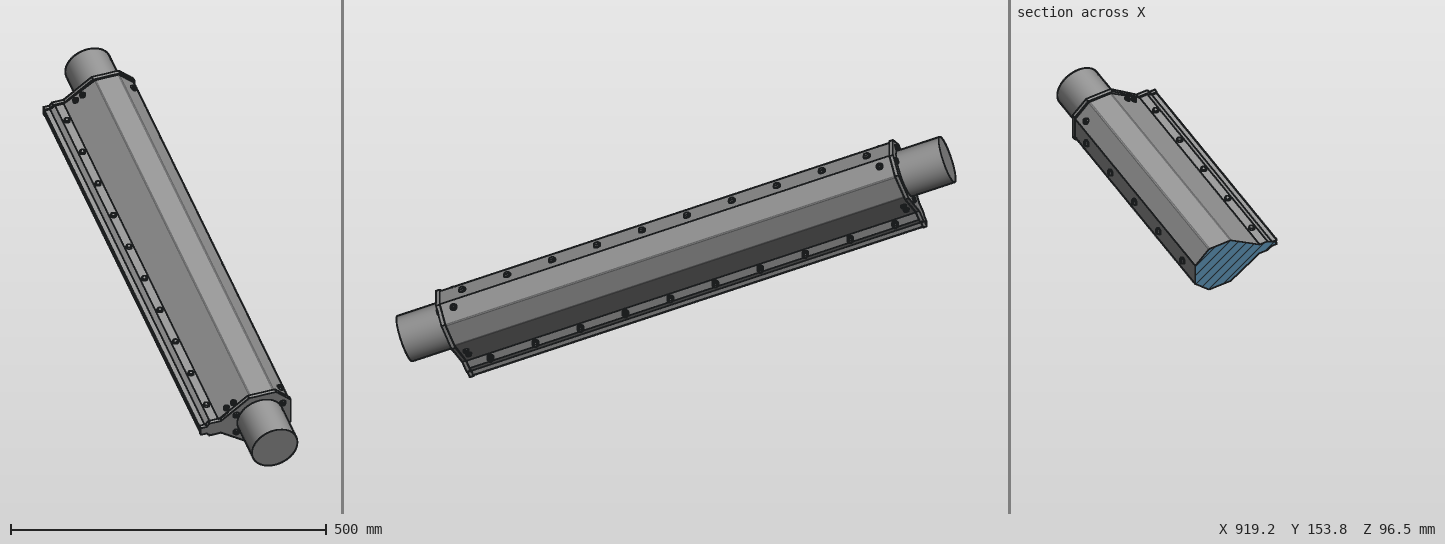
import cadquery as cq


overall_length = 919.18
tube_diameter = 76.2

body_length = 762.0
body_back = 50.2
body_half_height = 45.72
body_bevel = 25.2
body_top_front = -14.7
body_bend_radius = 3.2
body_nose_root = -67.3
body_nose_half_height = 10.2
body_nose_front = -81.6
body_lip_root = -90.0
body_lip_half_height = 5.0
groove_half_height = 3.4
groove_depth = 2.7
lip_front = -98.98

plate_thickness = 6.35
plate_back = 51.3
plate_half_height = 48.26
plate_bevel = 24.5
plate_top_front = -18.3
plate_nose_root = -65.3
plate_nose_half_height = 13.0
plate_nose_front = -84.7
plate_lip_root = -89.2
plate_lip_half_height = 7.3

large_head = (10.5, 7.6, 2.8)
small_head = (9.5, 7.6, 2.8)
socket_across_corners = 4.6
socket_depth = 1.6
embed = 1.0

plate_screw_places = [(37.6, 20.8), (-39.9, 18.3)]

slope_screw_x = 370.8
slope_screw_ys = (-38.7, -50.4)
bevel_screw_x = 361.0
bevel_screw_y = 42.0

row_pitch = 76.2
row_count = 10
row_xs = [(i - (row_count - 1) / 2) * row_pitch for i in range(row_count)]
back_screw_reach = 54.8
back_screw_collar_diameter = 11.0
nose_screw_y = -74.7
nut_diameter = 10.13
nut_height = 5.0
stud_diameter = 5.0
stud_end_z = -21.6


def mirrored_outline(upper):
    """Closed YZ outline from its upper half, symmetric about Z = 0."""
    lower = [(y, -z) for y, z in reversed(upper)]
    return cq.Workplane("YZ").polyline(upper + lower).close()


def make_body():
    """Housing with rounded top and bottom bends and a V groove along the lip."""
    outline = mirrored_outline(
        [
            (body_back, body_half_height - body_bevel),
            (body_back - body_bevel, body_half_height),
            (body_top_front, body_half_height),
            (body_nose_root, body_nose_half_height),
            (body_nose_front, body_nose_half_height),
            (body_lip_root, body_lip_half_height),
            (lip_front, body_lip_half_height),
        ]
    )
    housing = outline.extrude(body_length / 2, both=True)
    housing = housing.faces(">Z or <Z").edges("|X").fillet(body_bend_radius)
    groove = (
        cq.Workplane("YZ")
        .moveTo(lip_front, groove_half_height)
        .lineTo(lip_front + groove_depth, 0)
        .lineTo(lip_front, -groove_half_height)
        .close()
        .extrude(body_length / 2, both=True)
    )
    return housing.cut(groove)


def make_end_plate():
    """End plate with its inner face on X = 0 and its outer face towards +X."""
    outline = mirrored_outline(
        [
            (plate_back, plate_half_height - plate_bevel),
            (plate_back - plate_bevel, plate_half_height),
            (plate_top_front, plate_half_height),
            (plate_nose_root, plate_nose_half_height),
            (plate_nose_front, plate_nose_half_height),
            (plate_lip_root, plate_lip_half_height),
            (lip_front, plate_lip_half_height),
        ]
    )
    return outline.extrude(plate_thickness)


def pin(place, direction, diameter, height):
    """Cylinder standing on a face at the given place and reaching into it."""
    axis = cq.Vector(*direction).normalized()
    start = cq.Vector(*place) - axis * embed
    return cq.Solid.makeCylinder(diameter / 2, height + embed, start, axis)


def screw_head(place, direction, head, socket=False):
    """Tapered button head on a face at the given place, optionally with a hexagon socket."""
    base_diameter, top_diameter, height = head
    axis = cq.Vector(*direction).normalized()
    side = cq.Vector(0, 1, 0) if direction[0] else cq.Vector(1, 0, 0)
    plane = cq.Plane(origin=place, xDir=side, normal=axis)
    crown = cq.Solid.makeCone(base_diameter / 2, top_diameter / 2, height, cq.Vector(*place), axis)
    button = cq.Workplane(crown).union(cq.Workplane(pin(place, direction, base_diameter, 0)))
    if socket:
        socket_plane = cq.Workplane(plane).workplane(offset=height - socket_depth)
        button = button.cut(socket_plane.polygon(6, socket_across_corners).extrude(socket_depth))
    return button.val()


def plate_screws():
    outer_x = body_length / 2 + plate_thickness
    return [
        screw_head((end * outer_x, y, side * z), (end, 0, 0), large_head, socket=True)
        for end in (-1, 1)
        for side in (-1, 1)
        for y, z in plate_screw_places
    ]


def body_end_screws():
    """Two screws on each sloped face and one on each bevel, at both ends of the body."""
    slope_run = body_top_front - body_nose_root
    slope_drop = body_half_height - body_nose_half_height
    bevel_screw_z = body_half_height - body_bevel + body_back - bevel_screw_y
    screws = []
    for end in (-1, 1):
        for side in (-1, 1):
            for y in slope_screw_ys:
                z = body_half_height - (body_top_front - y) * slope_drop / slope_run
                place = (end * slope_screw_x, y, side * z)
                screws.append(screw_head(place, (0, -slope_drop, side * slope_run), small_head, socket=True))
            place = (end * bevel_screw_x, bevel_screw_y, side * bevel_screw_z)
            screws.append(screw_head(place, (0, 1, side), large_head, socket=True))
    return screws


def back_screws():
    """Row of heads, each on a round collar, along the back face."""
    collar_height = back_screw_reach - body_back - large_head[2]
    fasteners = []
    for x in row_xs:
        fasteners.append(pin((x, body_back, 0), (0, 1, 0), back_screw_collar_diameter, collar_height))
        fasteners.append(screw_head((x, body_back + collar_height, 0), (0, 1, 0), large_head))
    return fasteners


def nose_screws():
    """Row of heads on top of the nose, with nuts and stud ends below it."""
    fasteners = []
    for x in row_xs:
        under = (x, nose_screw_y, -body_nose_half_height)
        down = (0, 0, -1)
        fasteners.append(screw_head((x, nose_screw_y, body_nose_half_height), (0, 0, 1), small_head))
        fasteners.append(pin(under, down, nut_diameter, nut_height))
        fasteners.append(pin(under, down, stud_diameter, -stud_end_z - body_nose_half_height))
    return fasteners


result = make_body()
result = result.union(cq.Workplane("YZ").circle(tube_diameter / 2).extrude(overall_length / 2, both=True))

for inner_x in (body_length / 2, -body_length / 2 - plate_thickness):
    result = result.union(make_end_plate().translate((inner_x, 0, 0)))

for fastener in plate_screws() + body_end_screws() + back_screws() + nose_screws():
    result = result.union(cq.Workplane(fastener))